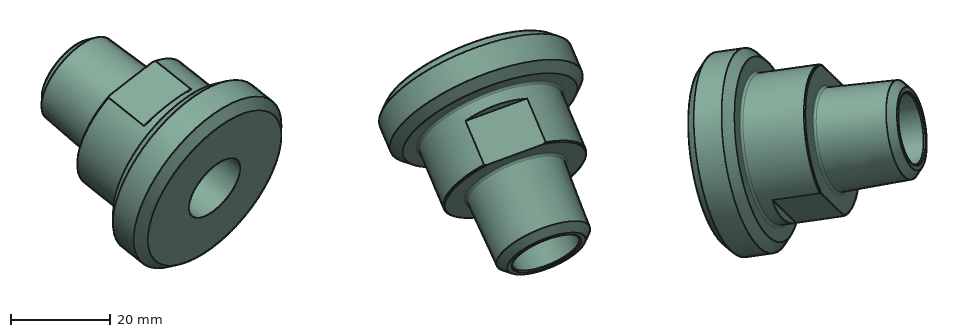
import cadquery as cq
import math

total_length = 41.0
flange_diameter = 41.8
flange_length = 10.0
flange_chamfer = 2.0
body_diameter = 31.0
body_length = 13.9
body_chamfer = 0.25
neck_tip_diameter = 20.3
neck_root_diameter = 21.3
neck_chamfer = 1.67
fillet_radius = 0.5
bore_diameter = 14.5
bore_chamfer = 0.3

flat_spacing = 28
flat_length = 10.4
shoulder_angle = 15

flange_start = total_length - flange_length
body_start = flange_start - body_length
flange_radius = flange_diameter / 2
body_radius = body_diameter / 2
neck_tip_radius = neck_tip_diameter / 2
neck_root_radius = neck_root_diameter / 2
bore_radius = bore_diameter / 2


def make_turned_body():
    """Revolve the half profile, drawn as (axial position, radius), about X."""
    corner = fillet_radius * math.sqrt(0.5)
    neck_arc_radius = neck_root_radius + fillet_radius
    body_arc_radius = body_radius + fillet_radius
    return (
        cq.Workplane("XY")
        .moveTo(0, bore_radius + bore_chamfer)
        .lineTo(0, neck_tip_radius - neck_chamfer)
        .lineTo(neck_chamfer, neck_tip_radius)
        .lineTo(body_start - fillet_radius, neck_root_radius)
        .threePointArc(
            (body_start - fillet_radius + corner, neck_arc_radius - corner),
            (body_start, neck_arc_radius),
        )
        .lineTo(body_start, body_radius - body_chamfer)
        .lineTo(body_start + body_chamfer, body_radius)
        .lineTo(flange_start - fillet_radius, body_radius)
        .threePointArc(
            (flange_start - fillet_radius + corner, body_arc_radius - corner),
            (flange_start, body_arc_radius),
        )
        .lineTo(flange_start, flange_radius - flange_chamfer)
        .lineTo(flange_start + flange_chamfer, flange_radius)
        .lineTo(total_length - flange_chamfer, flange_radius)
        .lineTo(total_length, flange_radius - flange_chamfer)
        .lineTo(total_length, bore_radius)
        .lineTo(bore_chamfer, bore_radius)
        .close()
        .revolve(360, (0, 0, 0), (1, 0, 0))
    )


def make_flat_cutter():
    """Prism that removes the material above the +Z wrench flat."""
    flat_height = flat_spacing / 2
    flat_end = body_start + flat_length
    cutter_height = flange_radius - flat_height
    shoulder_run = cutter_height * math.tan(math.radians(shoulder_angle))
    return (
        cq.Workplane("XZ")
        .moveTo(body_start, flat_height)
        .lineTo(flat_end, flat_height)
        .lineTo(flat_end + shoulder_run, flange_radius)
        .lineTo(body_start, flange_radius)
        .close()
        .extrude(body_radius, both=True)
    )


upper_cutter = make_flat_cutter()
lower_cutter = upper_cutter.mirror("XY")
result = make_turned_body().cut(upper_cutter).cut(lower_cutter)